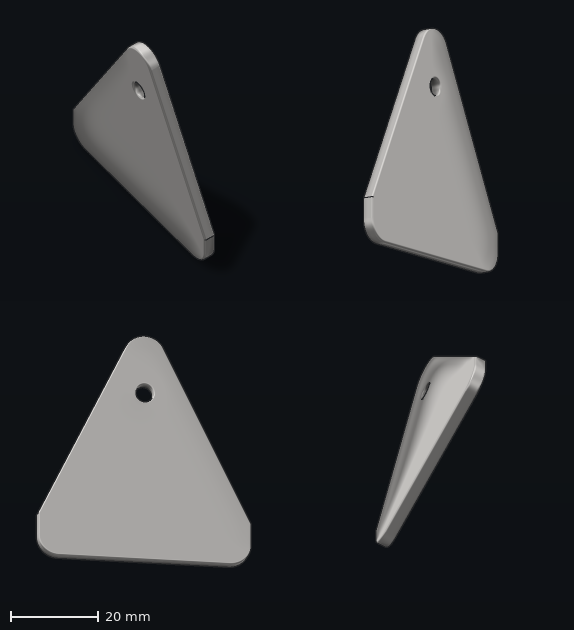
import cadquery as cq
import math

width = 50.0
thickness = 3.0
height = 53.8

corner_radius = 5.0
edge_radius = 0.5
hole_diameter = 4.0
hole_height = 40.05
side_slope = 2.0

half_width = width / 2
tip_center_z = height - corner_radius

slope_length = math.hypot(1, side_slope)
apex_z = tip_center_z + corner_radius * slope_length
shoulder_z = apex_z - side_slope * half_width
tangent_x = corner_radius * side_slope / slope_length
tangent_z = tip_center_z + corner_radius / slope_length


def make_plate():
    """Plate with a rounded tip and base corners, centred on the XZ plane."""
    plate = (
        cq.Workplane("XZ")
        .moveTo(-half_width, 0)
        .lineTo(half_width, 0)
        .lineTo(half_width, shoulder_z)
        .lineTo(tangent_x, tangent_z)
        .threePointArc((0, height), (-tangent_x, tangent_z))
        .lineTo(-half_width, shoulder_z)
        .close()
        .extrude(thickness / 2, both=True)
    )
    return plate.faces("<Z").edges("|Y").fillet(corner_radius)


def make_hole():
    """Hanging hole through the full thickness, below the tip."""
    return (
        cq.Workplane("XZ", origin=(0, thickness / 2, hole_height))
        .circle(hole_diameter / 2)
        .extrude(thickness)
    )


result = make_plate().cut(make_hole()).faces("<Y or >Y").edges().fillet(edge_radius)